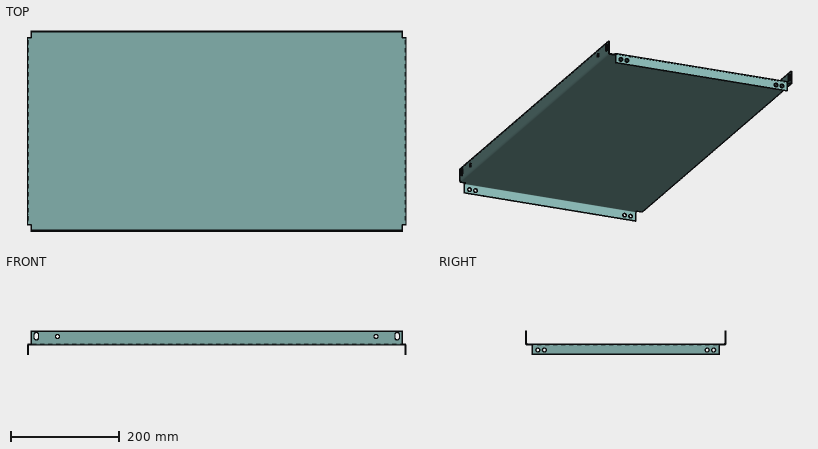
import cadquery as cq

length = 698.0
width = 369.0
height = 43.0

sheet = 2.0
bend_inner_radius = 1.0
bend_outer_radius = bend_inner_radius + sheet

side_flange_height = 26.0
end_flange_height = height - side_flange_height + sheet
notch_x = 7.0
notch_y = 12.0

slot_width = 8.0
slot_height = 13.5
slot_from_flange_end = 9.5
slot_below_top = 9.5
side_hole_diameter = 7.0
side_hole_from_flange_end = 48.5
side_hole_below_top = 10.0

end_hole_diameter = 7.0
end_hole_offsets = (10.5, 22.5)
end_hole_above_bottom = 8.0

side_flange_length = length - 2 * notch_x
end_flange_length = width - 2 * notch_y
top_z = height / 2
bottom_z = -height / 2
sheet_bottom_z = top_z - side_flange_height
sheet_top_z = sheet_bottom_z + sheet


def channel(span, depth, run):
    """U channel opening toward +Z, running along X, with its outer web face on Z = 0."""
    outer = (
        cq.Workplane("XY")
        .box(run, span, depth, centered=(True, True, False))
        .edges("|X and <Z")
        .fillet(bend_outer_radius)
    )
    inner = (
        cq.Workplane("XY")
        .workplane(offset=sheet)
        .box(run, span - 2 * sheet, depth, centered=(True, True, False))
        .edges("|X and <Z")
        .fillet(bend_inner_radius)
    )
    return outer.cut(inner)


def side_channel():
    """Floor with the two upturned side flanges."""
    body = channel(width, side_flange_height, side_flange_length)
    return body.translate((0, 0, sheet_bottom_z))


def end_channel():
    """Floor with the two downturned end flanges."""
    body = channel(length, end_flange_height, end_flange_length)
    return (
        body.rotate((0, 0, 0), (1, 0, 0), 180)
        .rotate((0, 0, 0), (0, 0, 1), 90)
        .translate((0, 0, sheet_top_z))
    )


def side_flange_cutters():
    """Upright slots and round holes through both side flanges."""
    slot_x = side_flange_length / 2 - slot_from_flange_end
    hole_x = side_flange_length / 2 - side_hole_from_flange_end
    slots = (
        cq.Workplane("XZ")
        .pushPoints([(sign * slot_x, top_z - slot_below_top) for sign in (-1, 1)])
        .slot2D(slot_height, slot_width, 90)
        .extrude(width, both=True)
    )
    holes = (
        cq.Workplane("XZ")
        .pushPoints([(sign * hole_x, top_z - side_hole_below_top) for sign in (-1, 1)])
        .circle(side_hole_diameter / 2)
        .extrude(width, both=True)
    )
    return slots.union(holes)


def end_flange_cutters():
    """Pairs of round holes near both ends of each end flange."""
    hole_z = bottom_z + end_hole_above_bottom
    points = [
        (sign * (end_flange_length / 2 - offset), hole_z)
        for sign in (-1, 1)
        for offset in end_hole_offsets
    ]
    return (
        cq.Workplane("YZ")
        .pushPoints(points)
        .circle(end_hole_diameter / 2)
        .extrude(length, both=True)
    )


tray = side_channel().union(end_channel())
result = tray.cut(side_flange_cutters()).cut(end_flange_cutters())